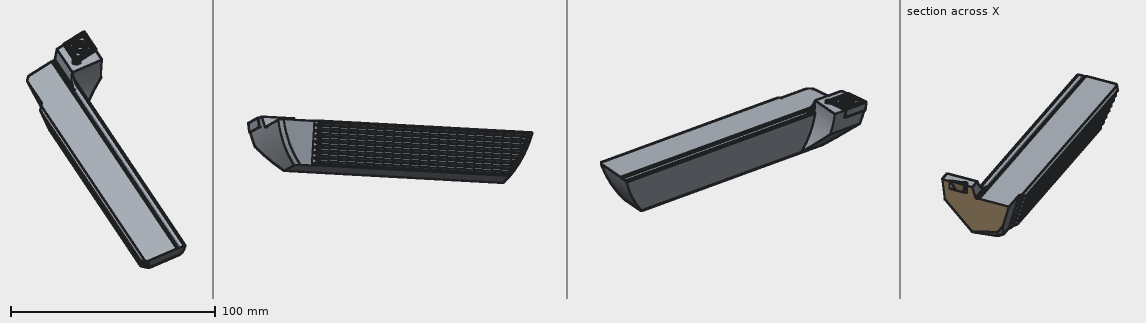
import cadquery as cq
import math


tool_length = 134.58
tool_width = 39.4
tool_height = 27.35
overrun = 10.0

insert_size = 12.7
insert_angle = 80.0
insert_height = 4.76
insert_nose_radius = 0.4
relief_angle = 7.0
rim_width = 0.15
chip_groove_width = 1.1
island_inset = 2.1
chip_groove_depth = 0.35

screw_top = -0.5
screw_head_radius = 3.7
screw_head_chamfer = 0.8
screw_head_edge_depth = 1.6
screw_stem_radius = 2.3
screw_cone_end = -3.6
screw_end = -12.0
socket_radius = 1.8
socket_lobe_radius = 0.45
socket_lobes = 6
socket_depth = 1.6

head_top = -0.4
head_flank_offset = 0.35
head_flank_bottom = -11.95
head_length = 19.2
head_front_top = -16.9
head_front_bottom = (-18.7, -6.1)
head_fillet_radius = 6.0
head_back_middle = (22.8, -16.8)
head_back_bottom = (29.4, -tool_height)
corner_relief_center = (14.1, -11.9)
corner_relief_radius = 1.95

shank_top = -6.15
shank_back = -15.8
ledge_back = -16.7
ledge_top = -6.4
ledge_edge_drop = 0.6
groove_bottom = (-19.6, -6.6)
groove_front = -20.7
nose_corner_chamfer = 1.9

nose_lean = 10.0
arc_radius = 52.8
arc_start_angle = 6.0

pad_tilt = 15.0
pad_start = 24.9
pad_height = 2.75
pad_end_slope = 45.0
tooth_count = 8
tooth_pitch = 2.7
tooth_depth = 2.0
valley_width = 0.35
first_tip_z = -7.55

tilt_sin = math.sin(math.radians(pad_tilt))
tilt_cos = math.cos(math.radians(pad_tilt))
relief_slope = math.tan(math.radians(relief_angle))
lean_slope = math.tan(math.radians(nose_lean))
acute_lean = 1 / math.tan(math.radians(insert_angle))

tip_base_y = -tool_width + pad_height * tilt_cos
tip_base_z = first_tip_z + pad_height * tilt_sin
base_top_y = tip_base_y - (shank_top - tip_base_z) * tilt_sin / tilt_cos


def base_plane_y(z):
    """Y of the tilted front plane of the shank at height z."""
    return base_top_y + (shank_top - z) * tilt_sin / tilt_cos


def arc_setback(z):
    """How far the end curves lie behind their start at height z."""
    start = math.radians(arc_start_angle)
    angle_sin = math.sin(start) - z / arc_radius
    return arc_radius * (math.cos(start) - math.sqrt(1 - angle_sin**2))


end_reference = tool_length + arc_setback(shank_top)


def end_x(z):
    """X of the shank's far end at height z."""
    return end_reference - arc_setback(z)


def block(x_range, y_range, z_range):
    """Box given by its lower and upper limit on each axis."""
    sizes = [high - low for low, high in (x_range, y_range, z_range)]
    corner = (x_range[0], y_range[0], z_range[0])
    return cq.Workplane("XY").box(*sizes, centered=False).translate(corner)



def nose_envelope():
    """Everything behind the leaning, curved nose face."""
    depth = tool_width + overrun
    outline = (
        cq.Workplane("XZ")
        .moveTo(0, 0)
        .threePointArc(
            (arc_setback(-tool_height / 2), -tool_height / 2),
            (arc_setback(-tool_height), -tool_height),
        )
        .lineTo(tool_length + depth, -tool_height)
        .lineTo(tool_length + depth, 0)
        .close()
    )
    direction = cq.Vector(lean_slope * depth, -depth, 0)
    return cq.Workplane(obj=cq.Solid.extrudeLinear(outline.val(), [], direction))


def far_end_envelope():
    """Everything in front of the curved far end."""
    return (
        cq.Workplane("XZ")
        .moveTo(0, 0)
        .lineTo(end_x(0), 0)
        .threePointArc(
            (end_x(-tool_height / 2), -tool_height / 2),
            (end_x(-tool_height), -tool_height),
        )
        .lineTo(0, -tool_height)
        .close()
        .extrude(tool_width)
    )


def shank():
    """Bar with the grooved top and the tilted front, before its ends are shaped."""
    return (
        cq.Workplane("YZ")
        .moveTo(base_top_y, shank_top)
        .lineTo(groove_front, shank_top)
        .lineTo(*groove_bottom)
        .lineTo(head_front_bottom[0], ledge_top)
        .lineTo(ledge_back, ledge_top)
        .lineTo(shank_back, ledge_top - ledge_edge_drop)
        .lineTo(shank_back, flank_bottom_z(shank_back))
        .lineTo(flank_bottom_y, -tool_height)
        .lineTo(base_plane_y(-tool_height), -tool_height)
        .close()
        .extrude(tool_length)
    )


flank_top_y = -head_flank_offset + head_top * relief_slope
flank_knee_y = -head_flank_offset + head_flank_bottom * relief_slope
flank_bottom_y = flank_knee_y - (tool_height + head_flank_bottom)


def flank_bottom_z(y):
    """Height of the 45 degree underside at y."""
    return head_flank_bottom + y - flank_knee_y


def head_section(back_y):
    """Head material between back_y and the groove, along the full head."""
    full = (
        cq.Workplane("YZ")
        .moveTo(flank_top_y, head_top)
        .lineTo(head_front_top, head_top)
        .lineTo(*head_front_bottom)
        .lineTo(*groove_bottom)
        .lineTo(groove_bottom[0], -tool_height)
        .lineTo(flank_bottom_y, -tool_height)
        .lineTo(flank_knee_y, head_flank_bottom)
        .close()
        .extrude(tool_width)
    )
    return full.intersect(block((0, tool_width), (-tool_width, back_y), (-tool_height, 0)))


def head():
    """Insert carrier whose back flares towards the bottom and blends into the shank top."""
    flare = (
        cq.Workplane("XZ")
        .moveTo(0, head_top)
        .lineTo(head_length, head_top)
        .threePointArc(head_back_middle, head_back_bottom)
        .lineTo(0, -tool_height)
        .close()
        .extrude(tool_width)
    )
    fillet_center = (head_length + head_fillet_radius, ledge_top + head_fillet_radius)
    fillet_reach = head_fillet_radius * math.sqrt(0.5)
    blend = (
        cq.Workplane("XZ")
        .moveTo(0, head_top)
        .lineTo(head_length, head_top)
        .threePointArc(
            (fillet_center[0] - fillet_reach, fillet_center[1] - fillet_reach),
            (fillet_center[0], ledge_top),
        )
        .lineTo(fillet_center[0], shank_top - head_fillet_radius)
        .lineTo(0, shank_top - head_fillet_radius)
        .close()
        .extrude(tool_width)
    )
    carrier = head_section(0).intersect(flare)
    blended_foot = head_section(ledge_back).intersect(blend)
    return carrier.union(blended_foot)


def pad():
    """Serrated pad whose ends slope at 45 degrees."""
    def point(along, height):
        """Y and Z of a point, from its distance down the base plane and height above it."""
        y = base_top_y + along * tilt_sin - height * tilt_cos
        z = shank_top - along * tilt_cos - height * tilt_sin
        return y, z

    first_tip = (shank_top - tip_base_z) / tilt_cos
    valley_height = pad_height - tooth_depth
    valley_offset = tooth_pitch / 2
    section = [point(first_tip - valley_offset, 0)]
    for tooth in range(tooth_count):
        tip = first_tip + tooth * tooth_pitch
        section.append(point(tip - valley_offset + valley_width / 2, valley_height))
        section.append(point(tip, pad_height))
        section.append(point(tip + valley_offset - valley_width / 2, valley_height))
    pad_bottom = first_tip + tooth_count * tooth_pitch
    section.append(point(pad_bottom, valley_height))
    section.append(point(pad_bottom, 0))
    teeth = cq.Workplane("YZ").polyline(section).close().extrude(tool_length)

    def end_point(z):
        """Where the far end meets the base plane, in that plane's own coordinates."""
        return end_x(z), (z - shank_top) / tilt_cos

    base = cq.Plane(
        origin=(0, base_top_y, shank_top),
        xDir=(1, 0, 0),
        normal=(0, -tilt_cos, -tilt_sin),
    )
    low = -tool_height - overrun / 2
    middle = (shank_top - tool_height) / 2
    envelope = (
        cq.Workplane(base)
        .moveTo(pad_start, end_point(0)[1])
        .lineTo(*end_point(0))
        .threePointArc(end_point(middle), end_point(low))
        .lineTo(pad_start, end_point(low)[1])
        .close()
        .extrude(2 * pad_height, taper=pad_end_slope)
    )
    slab = block((0, tool_length), (-tool_width, 0), (-tool_height, shank_top))
    return teeth.intersect(envelope).intersect(slab)



nose_loss = insert_nose_radius * (1 / math.tan(math.radians(insert_angle / 2)) - 1)


def rhombus(inset):
    """Corners of the insert's outline, moved inwards by inset."""
    edge_step = inset / math.sin(math.radians(insert_angle))
    size = insert_size - 2 * inset
    left = -nose_loss + edge_step + inset * acute_lean
    edge = size / math.sin(math.radians(insert_angle))
    drop = size * acute_lean
    return [
        (left, -inset),
        (left + edge, -inset),
        (left + edge + drop, -inset - size),
        (left + drop, -inset - size),
    ]


insert_center = tuple(sum(values) / 4 for values in zip(*rhombus(0)))


def insert_prism(inset, top, height, taper=0):
    """Rhombic block hanging down from top, or standing up where height is negative."""
    return (
        cq.Workplane("XY", origin=(0, 0, top))
        .polyline(rhombus(inset))
        .close()
        .extrude(-height, taper=taper)
    )


screw_edge_z = screw_top - screw_head_chamfer / 2


def screw_blank():
    """Screw without its socket; it also forms the holes that it fills."""
    cone_top = screw_edge_z - screw_head_edge_depth
    profile = [
        (0, screw_top),
        (screw_head_radius - screw_head_chamfer, screw_top),
        (screw_head_radius, screw_edge_z),
        (screw_head_radius, cone_top),
        (screw_stem_radius, screw_cone_end),
        (screw_stem_radius, screw_end),
        (0, screw_end),
    ]
    turned = cq.Workplane("XZ").polyline(profile).close().revolve(360, (0, 0), (0, 1))
    return turned.translate((*insert_center, 0))


def screw():
    """Countersunk screw with a lobed socket."""
    lobe_distance = socket_radius - socket_lobe_radius / 2

    def round_cut(radius, angle, distance):
        x = insert_center[0] + distance * math.cos(angle)
        y = insert_center[1] + distance * math.sin(angle)
        return cq.Workplane("XY", origin=(x, y, screw_top)).circle(radius).extrude(-socket_depth)

    socket = round_cut(lobe_distance, 0, 0)
    for lobe in range(socket_lobes):
        angle = lobe * 2 * math.pi / socket_lobes
        socket = socket.union(round_cut(socket_lobe_radius, angle, lobe_distance))
    return screw_blank().cut(socket)


def cutting_insert():
    """Relieved rhombic plate with a chip groove along its rim and a countersunk screw hole."""
    upright = insert_prism(0, 0, insert_height).edges("|Z").fillet(insert_nose_radius)
    plate = (
        upright.faces(">Z").wires()
        .toPending()
        .workplane()
        .extrude(-insert_height, combine=False, taper=relief_angle)
    )
    groove_slope = math.degrees(math.atan2(chip_groove_width - rim_width, chip_groove_depth))
    island_slope = math.degrees(math.atan2(island_inset - chip_groove_width, chip_groove_depth))
    groove = insert_prism(rim_width, 0, chip_groove_depth, groove_slope)
    island = insert_prism(chip_groove_width, -chip_groove_depth, -chip_groove_depth, island_slope)
    clearance = (
        cq.Workplane("XY", origin=(*insert_center, 0))
        .circle(screw_head_radius)
        .extrude(screw_edge_z)
    )
    return plate.cut(groove.cut(island)).cut(clearance).cut(screw_blank())


def insert_pocket():
    """Seat of the insert, with a round relief at its inner corner."""
    seat = insert_prism(0, 0, insert_height)
    relief = cq.Workplane("XY").center(*corner_relief_center).circle(corner_relief_radius)
    return seat.union(relief.extrude(-insert_height))


def holder():
    """Shank and head with shaped ends, a chamfered front corner, the pad and the insert seat."""
    body = shank().union(head()).intersect(nose_envelope()).intersect(far_end_envelope())
    corner_z = (shank_top - tool_height) / 2
    corner_y = base_plane_y(corner_z)
    corner = (arc_setback(corner_z) - lean_slope * corner_y, corner_y, corner_z)
    corner_edge = cq.selectors.NearestToPointSelector(corner)
    body = body.edges(corner_edge).chamfer(nose_corner_chamfer).union(pad())
    return body.cut(insert_pocket()).cut(screw_blank())


cartridge_holder = holder()
rhombic_insert = cutting_insert()
insert_screw = screw()

result = cq.Compound.makeCompound(
    [cartridge_holder.val(), rhombic_insert.val(), insert_screw.val()]
)